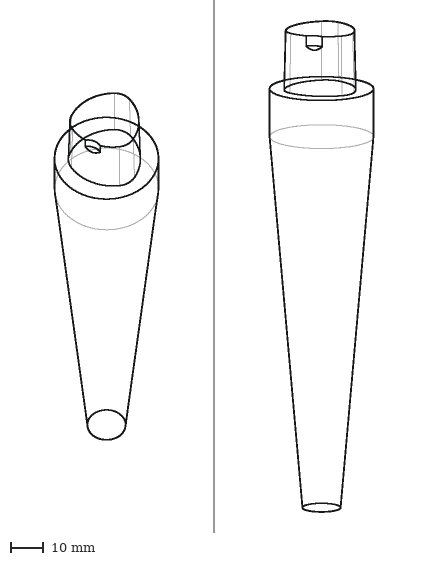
import cadquery as cq
import math

total_height = 151.0
collar_radius = 16.0
collar_height = 15.1
foot_radius = 5.9

shank_height = 18.7
shank_draft = 0.5
flank_radius = 15.0
flank_center_offset = 4.5
lobe_center_offset = 5.6

notch_radius = 4.1
notch_depth = 3.2
notch_center_y = -13.0
notch_cone_height = notch_radius

shank_base_z = total_height - shank_height
collar_base_z = shank_base_z - collar_height


def polar(radius, degrees):
    angle = math.radians(degrees)
    return radius * math.cos(angle), radius * math.sin(angle)


def make_body():
    """Long cone widening upwards into a cylindrical collar."""
    return (
        cq.Workplane("XZ")
        .lineTo(foot_radius, 0)
        .lineTo(collar_radius, collar_base_z)
        .lineTo(collar_radius, shank_base_z)
        .lineTo(0, shank_base_z)
        .close()
        .revolve(360, (0, 0, 0), (0, 1, 0))
    )


def make_shank():
    """Drafted rounded triangle made of three lobe arcs and three flank arcs."""
    center_distance = math.sqrt(
        flank_center_offset**2 + lobe_center_offset**2 + flank_center_offset * lobe_center_offset
    )
    lobe_radius = flank_radius - center_distance
    center_sine = lobe_center_offset * math.sin(math.radians(120)) / center_distance
    half_flank_angle = math.degrees(math.asin(center_sine))

    def flank_end(flank_angle, side):
        center_x, center_y = polar(-flank_center_offset, flank_angle)
        reach_x, reach_y = polar(flank_radius, flank_angle + side * half_flank_angle)
        return center_x + reach_x, center_y + reach_y

    first_flank = -90
    profile = cq.Workplane("XY", origin=(0, 0, shank_base_z)).moveTo(*flank_end(first_flank, -1))
    for flank_angle in (first_flank, first_flank + 120, first_flank + 240):
        flank_middle = polar(flank_radius - flank_center_offset, flank_angle)
        lobe_tip = polar(lobe_center_offset + lobe_radius, flank_angle + 60)
        profile = profile.threePointArc(flank_middle, flank_end(flank_angle, 1))
        profile = profile.threePointArc(lobe_tip, flank_end(flank_angle + 120, -1))
    draft_angle = math.degrees(math.atan2(shank_draft, shank_height))
    return profile.close().extrude(shank_height, taper=draft_angle)


def make_notch():
    """Cone-tipped cylinder standing on its own vertical axis."""
    rim_z = total_height - notch_depth
    return (
        cq.Workplane("XZ")
        .moveTo(0, rim_z - notch_cone_height)
        .lineTo(notch_radius, rim_z)
        .lineTo(notch_radius, total_height)
        .lineTo(0, total_height)
        .close()
        .revolve(360, (0, 0, 0), (0, 1, 0))
        .translate((0, notch_center_y, 0))
    )


result = make_body().union(make_shank().cut(make_notch()))